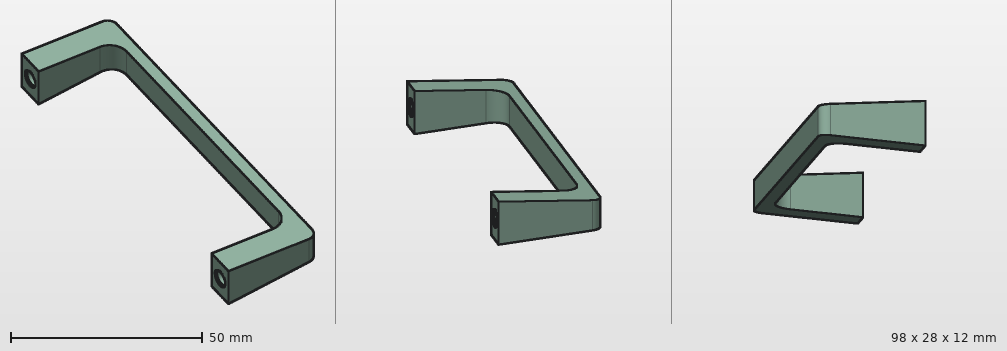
import cadquery as cq
import math

length = 98.0
depth = 28.0
foot_height = 12.0
grip_height = 8.0

leg_width = 8.0
grip_thickness = 3.7
outer_radius = 2.7
inner_radius = 5.0

bore_diameter = 4.1
bore_depth = 9.8
drill_tip_angle = 118.0
countersink_diameter = 5.0

front_y = -depth / 2
back_y = depth / 2
hole_spacing = length - leg_width


def bow_body():
    """U-shaped bow, open toward -Y, with rounded corners."""
    block = cq.Workplane("XY").box(length, depth, foot_height)
    block = block.edges("|Z and >Y").fillet(outer_radius)
    opening_depth = depth - grip_thickness
    opening = (
        cq.Workplane("XY")
        .box(length - 2 * leg_width, opening_depth, foot_height)
        .edges("|Z and >Y")
        .fillet(inner_radius)
        .translate((0, -grip_thickness / 2, 0))
    )
    return block.cut(opening)


def taper_envelope():
    """Wedge that narrows the height evenly from the feet to the grip."""
    return (
        cq.Workplane("YZ")
        .polyline([
            (front_y, -foot_height / 2),
            (back_y, -grip_height / 2),
            (back_y, grip_height / 2),
            (front_y, foot_height / 2),
        ])
        .close()
        .extrude(length / 2, both=True)
    )


def foot_bore(x):
    """Countersunk blind bore with a conical drill tip, along +Y."""
    bore_radius = bore_diameter / 2
    countersink_radius = countersink_diameter / 2
    countersink_depth = countersink_radius - bore_radius
    tip_length = bore_radius / math.tan(math.radians(drill_tip_angle / 2))
    return (
        cq.Workplane("XY")
        .polyline([
            (0, 0),
            (countersink_radius, 0),
            (bore_radius, countersink_depth),
            (bore_radius, bore_depth),
            (0, bore_depth + tip_length),
        ])
        .close()
        .revolve(360, (0, 0), (0, 1))
        .translate((x, front_y, 0))
    )


result = bow_body().intersect(taper_envelope())
for side in (-1, 1):
    result = result.cut(foot_bore(side * hole_spacing / 2))